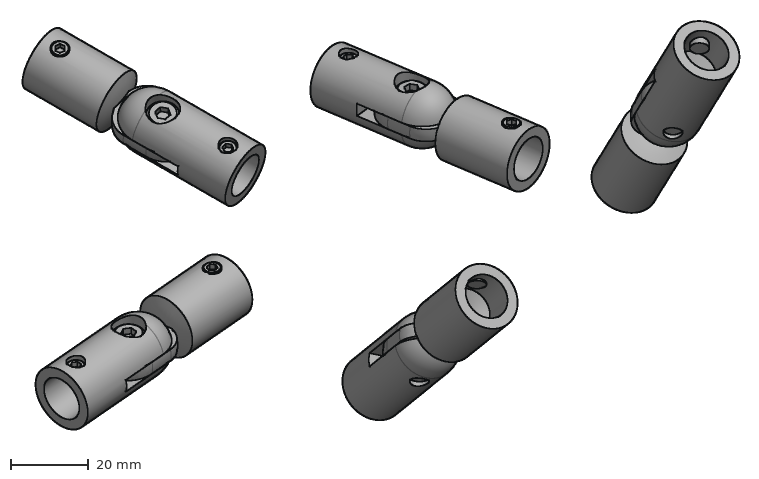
import cadquery as cq
import math


LENGTH = 63.9
RADIUS = 9.0
TONGUE_THICKNESS = 3.8

BORE_RADIUS = 6.1
BORE_DEPTH = 9.95
DRILL_POINT_ANGLE = 118.0

SHOULDER_X = 23.3
NECK_X = 24.9
DOME_APEX_X = 25.1
TONGUE_ROOT_X = 31.7
TONGUE_ROOT_RADIUS = 7.0
TONGUE_TIP_CENTER_X = 38.85

FORK_NOSE_X = 25.4
FORK_SPHERE_X = FORK_NOSE_X + RADIUS
SLOT_END_X = 48.9

PIVOT_X = 37.9
COUNTERBORE_RADIUS = 4.5
COUNTERBORE_FLOOR_Z = 3.0
HEAD_RADIUS = 4.3
HEAD_HEIGHT = 3.5
HEAD_CHAMFER = 0.7
SHANK_RADIUS = 2.5
SHANK_END_Z = -7.65
PIVOT_HEX_FLATS = 3.5
PIVOT_HEX_DEPTH = 1.9
PIVOT_HEX_TURN = -7.0

SET_SCREW_INSET = 5.5
SET_SCREW_RADIUS = 2.5
SET_SCREW_LENGTH = 3.5
SET_SCREW_CHAMFER = 0.3
SET_HEX_FLATS = 2.5
SET_HEX_DEPTH = 1.6
SET_SCREWS = [
    (SET_SCREW_INSET, RADIUS, 5.0),
    (LENGTH - SET_SCREW_INSET, 7.7, -34.0),
]


def vertical_cylinder(x, radius, bottom, top):
    return cq.Workplane("XY", origin=(x, 0, bottom)).circle(radius).extrude(top - bottom)


def revolve_about_x(profile):
    return profile.close().revolve(360, (0, 0, 0), (1, 0, 0))


def bore(face_x, direction):
    """Blind drilled hole that enters at face_x and runs along direction (+1 or -1)."""
    point_length = BORE_RADIUS / math.tan(math.radians(DRILL_POINT_ANGLE / 2))
    cone_x = face_x + direction * BORE_DEPTH
    return revolve_about_x(
        cq.Workplane("XY")
        .moveTo(face_x, 0)
        .lineTo(face_x, BORE_RADIUS)
        .lineTo(cone_x, BORE_RADIUS)
        .lineTo(cone_x + direction * point_length, 0)
    )


def set_screw_hole(x):
    return vertical_cylinder(x, SET_SCREW_RADIUS, 0, RADIUS + 0.65)


def hex_socket(x, top, flats, depth, turn):
    """Hexagonal key recess below top; at zero turn two corners lie along X."""
    corner_diameter = flats / math.cos(math.radians(30))
    hexagon = cq.Workplane("XY", origin=(x, 0, top - depth)).polygon(6, corner_diameter).extrude(depth)
    return hexagon.rotate((x, 0, 0), (x, 0, 1), turn)


def slab(start_x, end_x):
    """Flat layer on the mid-plane, wider than the sockets."""
    return (
        cq.Workplane("XY")
        .box(end_x - start_x, 4 * RADIUS, TONGUE_THICKNESS)
        .translate(((start_x + end_x) / 2, 0, 0))
    )


def make_tongue_socket():
    dome_height = DOME_APEX_X - SHOULDER_X
    dome_radius = (RADIUS**2 + dome_height**2) / (2 * dome_height)
    dome_mid_y = RADIUS / 2
    dome_mid_x = DOME_APEX_X - dome_radius + math.sqrt(dome_radius**2 - dome_mid_y**2)
    barrel = revolve_about_x(
        cq.Workplane("XY")
        .lineTo(0, RADIUS)
        .lineTo(SHOULDER_X, RADIUS)
        .threePointArc((dome_mid_x, dome_mid_y), (DOME_APEX_X, 0))
    )

    root_center_y = RADIUS - TONGUE_ROOT_RADIUS
    root_run = TONGUE_ROOT_X - NECK_X
    root_start_y = root_center_y + math.sqrt(TONGUE_ROOT_RADIUS**2 - root_run**2)
    half_turn = math.asin(root_run / TONGUE_ROOT_RADIUS) / 2
    root_mid = (
        TONGUE_ROOT_X - TONGUE_ROOT_RADIUS * math.sin(half_turn),
        root_center_y + TONGUE_ROOT_RADIUS * math.cos(half_turn),
    )
    tip_x = TONGUE_TIP_CENTER_X + RADIUS
    diagonal = RADIUS * math.sqrt(0.5)
    turned = revolve_about_x(
        cq.Workplane("XY")
        .moveTo(SHOULDER_X, 0)
        .lineTo(SHOULDER_X, root_start_y)
        .lineTo(NECK_X, root_start_y)
        .threePointArc(root_mid, (TONGUE_ROOT_X, RADIUS))
        .lineTo(TONGUE_TIP_CENTER_X, RADIUS)
        .threePointArc((TONGUE_TIP_CENTER_X + diagonal, diagonal), (tip_x, 0))
    )
    tongue = turned.intersect(slab(SHOULDER_X, tip_x))

    pivot_hole = vertical_cylinder(PIVOT_X, SHANK_RADIUS, -RADIUS, RADIUS)
    socket = barrel.union(tongue).cut(pivot_hole)
    return socket.cut(bore(0, 1)).cut(set_screw_hole(SET_SCREW_INSET))


def make_fork_socket():
    diagonal = RADIUS * math.sqrt(0.5)
    body = revolve_about_x(
        cq.Workplane("XY")
        .moveTo(FORK_NOSE_X, 0)
        .threePointArc((FORK_SPHERE_X - diagonal, diagonal), (FORK_SPHERE_X, RADIUS))
        .lineTo(LENGTH, RADIUS)
        .lineTo(LENGTH, 0)
    )
    body = body.cut(slab(NECK_X, SLOT_END_X))
    body = body.cut(vertical_cylinder(PIVOT_X, SHANK_RADIUS, -RADIUS - 0.65, RADIUS))
    body = body.cut(vertical_cylinder(PIVOT_X, COUNTERBORE_RADIUS, COUNTERBORE_FLOOR_Z, RADIUS + 0.65))
    return body.cut(bore(LENGTH, -1)).cut(set_screw_hole(LENGTH - SET_SCREW_INSET))


def make_pivot_screw():
    head_top = COUNTERBORE_FLOOR_Z + HEAD_HEIGHT
    head = vertical_cylinder(PIVOT_X, HEAD_RADIUS, COUNTERBORE_FLOOR_Z, head_top)
    head = head.faces(">Z").chamfer(HEAD_CHAMFER)
    shank = vertical_cylinder(PIVOT_X, SHANK_RADIUS, SHANK_END_Z, COUNTERBORE_FLOOR_Z)
    key = hex_socket(PIVOT_X, head_top, PIVOT_HEX_FLATS, PIVOT_HEX_DEPTH, PIVOT_HEX_TURN + 30)
    return head.union(shank).cut(key)


def make_set_screw(x, top, turn):
    screw = vertical_cylinder(x, SET_SCREW_RADIUS, top - SET_SCREW_LENGTH, top)
    screw = screw.faces(">Z").chamfer(SET_SCREW_CHAMFER)
    return screw.cut(hex_socket(x, top, SET_HEX_FLATS, SET_HEX_DEPTH, turn))


tongue_socket = make_tongue_socket()
fork_socket = make_fork_socket()
pivot_screw = make_pivot_screw()
set_screws = [make_set_screw(x, top, turn) for x, top, turn in SET_SCREWS]

result = cq.Compound.makeCompound(
    [tongue_socket.val(), fork_socket.val(), pivot_screw.val(), *[screw.val() for screw in set_screws]]
)